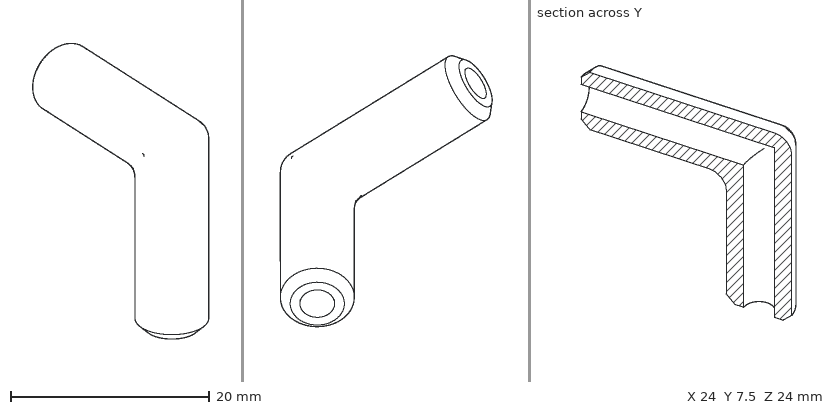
import cadquery as cq

overall_length = 24.0
outer_diameter = 7.5
bore_diameter = 3.5
end_chamfer = 1.0
corner_radius = 2.0
side_margin = 0.02

leg_length = overall_length - outer_diameter / 2
reach = 2 * overall_length


def bar(plane, diameter):
    """Round bar from its open end to just past the corner."""
    return (
        cq.Workplane(plane)
        .workplane(offset=-leg_length)
        .circle(diameter / 2)
        .extrude(leg_length + diameter / 2)
    )


def mitred_elbow(diameter):
    """Two round bars, along -X and -Z, meeting at a 45 degree mitre."""
    upper_left_side = (
        cq.Workplane("XZ")
        .polyline([(-reach, -reach), (reach, reach), (-reach, reach)])
        .close()
        .extrude(diameter, both=True)
    )
    leg_x = bar("YZ", diameter).intersect(upper_left_side)
    leg_z = bar("XY", diameter).cut(upper_left_side)
    return leg_x.union(leg_z)


def round_mitre(elbow):
    """Round the outside and inside of the mitre with one radius.

    The mitre edge fades out where it crosses the sides of the tube, so the
    rounding stops just short of them, where its depth is negligible.
    """
    core_width = outer_diameter - 2 * side_margin
    core_slab = cq.Workplane("XY").box(2 * reach, core_width, 2 * reach)
    sides = elbow.cut(core_slab)
    core = elbow.intersect(core_slab).edges("%ELLIPSE").fillet(corner_radius)
    return core.union(sides)


body = round_mitre(mitred_elbow(outer_diameter))
body = body.faces("<X or <Z").chamfer(end_chamfer)
result = body.cut(mitred_elbow(bore_diameter)).solids()